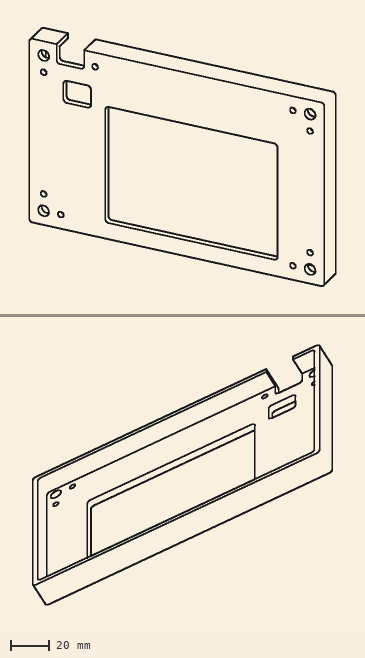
import cadquery as cq

LENGTH = 171.8
DEPTH = 14.0
HEIGHT = 108.7
CORNER_RADIUS = 2.0

PLATE_THICKNESS = 4.0
WALL_THICKNESS = 3.1
POCKET_DEPTH = DEPTH - PLATE_THICKNESS

WINDOW_LENGTH = 100.2
WINDOW_HEIGHT = 68.7
WINDOW_LEFT = 44.3
WINDOW_BOTTOM = 9.6

OPENING_LENGTH = 16.0
OPENING_HEIGHT = 13.0
OPENING_LEFT = 20.0
OPENING_TOP_GAP = 20.5
NOTCH_LEFT = 16.0
NOTCH_DEPTH = 11.3

LARGE_HOLE = 6.2
SMALL_HOLE = 3.3
HOLE_INSET = 8.5
SMALL_HOLE_SPACING = 10.0
NOTCH_HOLE_LEFT = 38.3


def block(left, bottom, length, height, front=0.0, depth=DEPTH):
    """Box with its four depth-wise edges rounded, placed by its lower left front corner."""
    body = cq.Workplane("XY").box(length, depth, height, centered=False)
    return body.edges("|Y").fillet(CORNER_RADIUS).translate((left, front, bottom))


def holes(diameter, points):
    """Through holes along Y at the given (x, z) points."""
    return cq.Workplane("XZ").pushPoints(points).circle(diameter / 2).extrude(-DEPTH)


shell = block(0, 0, LENGTH, HEIGHT)
pocket = block(
    WALL_THICKNESS,
    WALL_THICKNESS,
    LENGTH - 2 * WALL_THICKNESS,
    HEIGHT - 2 * WALL_THICKNESS,
    front=PLATE_THICKNESS,
    depth=POCKET_DEPTH,
)

window = block(WINDOW_LEFT, WINDOW_BOTTOM, WINDOW_LENGTH, WINDOW_HEIGHT)
opening_bottom = HEIGHT - OPENING_TOP_GAP - OPENING_HEIGHT
opening = block(OPENING_LEFT, opening_bottom, OPENING_LENGTH, OPENING_HEIGHT, depth=PLATE_THICKNESS)

notch = block(NOTCH_LEFT, HEIGHT - NOTCH_DEPTH, OPENING_LENGTH, 2 * NOTCH_DEPTH)

left, right = HOLE_INSET, LENGTH - HOLE_INSET
bottom, top = HOLE_INSET, HEIGHT - HOLE_INSET
large_points = [(x, z) for x in (left, right) for z in (bottom, top)]
small_points = [(x, z) for x in (left, right) for z in (bottom + SMALL_HOLE_SPACING, top - SMALL_HOLE_SPACING)]
small_points += [(right - SMALL_HOLE_SPACING, z) for z in (bottom, top)]
small_points += [(left + SMALL_HOLE_SPACING, bottom), (NOTCH_HOLE_LEFT, top)]

result = shell.cut(pocket).cut(window).cut(opening).cut(notch)
result = result.cut(holes(LARGE_HOLE, large_points)).cut(holes(SMALL_HOLE, small_points))